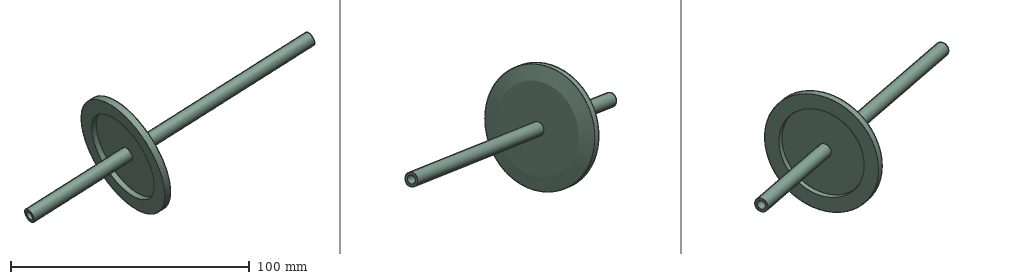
import cadquery as cq
import math

tube_length = 152.4
tube_diameter = 6.4
bore_diameter = 4.0

front_length = 50.7
flange_diameter = 55.0
rim_width = 3.2
flange_thickness = 5.0
taper_angle = 15.0
recess_diameter = 41.1
recess_depth = 2.6

flange_radius = flange_diameter / 2
tube_radius = tube_diameter / 2
recess_radius = recess_diameter / 2
cone_height = flange_thickness - rim_width
back_radius = flange_radius - cone_height / math.tan(math.radians(taper_angle))


def make_tube():
    """Straight hollow tube with its front end at -front_length on Y."""
    return (
        cq.Workplane("XZ", origin=(0, -front_length, 0))
        .circle(tube_radius)
        .circle(bore_diameter / 2)
        .extrude(-tube_length)
    )


def make_flange():
    """Revolved disc with a recessed front, a conical back and a hole for the tube."""
    return (
        cq.Workplane("XY")
        .moveTo(tube_radius, recess_depth)
        .lineTo(recess_radius, recess_depth)
        .lineTo(recess_radius, 0)
        .lineTo(flange_radius, 0)
        .lineTo(flange_radius, rim_width)
        .lineTo(back_radius, flange_thickness)
        .lineTo(tube_radius, flange_thickness)
        .close()
        .revolve(360, (0, 0, 0), (0, 1, 0))
    )


tube = make_tube()
flange = make_flange()

result = cq.Compound.makeCompound([tube.val(), flange.val()])